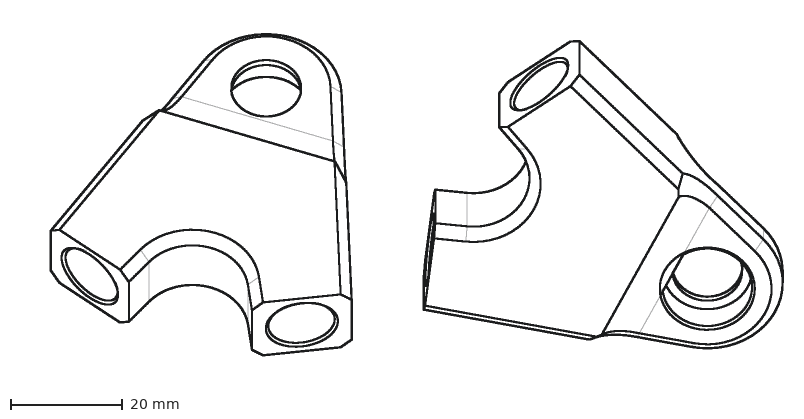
import cadquery as cq
import math


LEFT_ANGLE = 19.2
RIGHT_ANGLE = 27.25
LEG_LENGTH = 50.0
LEG_WIDTH = 18.0
BODY_THICKNESS = 16.0
CROTCH_RADIUS = 10.0
EDGE_CHAMFER = 2.0
CHAMFER_ANGLE = 45.0

EYE_RADIUS = 13.5
EYE_THICKNESS = 8.0
STEP_RADIUS = 8.0
EYE_HOLE_DIAMETER = 12.5
SEAT_DIAMETER = 16.0
LIP_THICKNESS = 1.5
SEAT_CHAMFER = 0.5

BORE_DIAMETER = 12.0
BORE_DEPTH = 20.0
BORE_CHAMFER = 0.5

HALF_WIDTH = LEG_WIDTH / 2
HALF_BODY = BODY_THICKNESS / 2
HALF_EYE = EYE_THICKNESS / 2
STEP_RISE = HALF_BODY - HALF_EYE
STEP_RUN = math.sqrt(STEP_RADIUS**2 - (STEP_RADIUS - STEP_RISE) ** 2)
STEP_START_Y = -STEP_RUN
STEP_END_Y = STEP_START_Y - STEP_RUN
HALF_SPREAD = (LEFT_ANGLE + RIGHT_ANGLE) / 2
CROTCH_DISTANCE = (HALF_WIDTH + CROTCH_RADIUS) / math.sin(math.radians(HALF_SPREAD))
CLEARANCE = 10.0


def polar(radius, angle):
    """Point at a radius from the eye centre; angle is from -Y towards +X."""
    turn = math.radians(angle)
    return cq.Vector(radius * math.sin(turn), -radius * math.cos(turn), 0)


def leg_point(angle, along, across):
    """Point in leg coordinates; across is positive towards +X."""
    return polar(along, angle) + polar(across, angle + 90)


def eye_tangent_point(side, angle):
    """Where the outer flank of a leg touches the eye; side is -1 left, +1 right."""
    corner_distance = math.hypot(LEG_LENGTH, HALF_WIDTH)
    corner_turn = math.degrees(math.atan2(HALF_WIDTH, LEG_LENGTH))
    tangent_turn = math.degrees(math.acos(EYE_RADIUS / corner_distance))
    return polar(EYE_RADIUS, angle + side * (corner_turn + tangent_turn))


def flat(point):
    """X and Y of a point in the plan."""
    return (point.x, point.y)


def make_blank():
    """Full-thickness plate with the plan outline."""
    bisector = (RIGHT_ANGLE - LEFT_ANGLE) / 2
    crotch_centre = polar(CROTCH_DISTANCE, bisector)
    left_crotch = crotch_centre + polar(CROTCH_RADIUS, -LEFT_ANGLE - 90)
    right_crotch = crotch_centre + polar(CROTCH_RADIUS, RIGHT_ANGLE + 90)
    crotch_top = polar(CROTCH_DISTANCE - CROTCH_RADIUS, bisector)
    return (
        cq.Workplane("XY", origin=(0, 0, -HALF_BODY))
        .moveTo(*flat(eye_tangent_point(-1, -LEFT_ANGLE)))
        .threePointArc((0, EYE_RADIUS), flat(eye_tangent_point(1, RIGHT_ANGLE)))
        .lineTo(*flat(leg_point(RIGHT_ANGLE, LEG_LENGTH, HALF_WIDTH)))
        .lineTo(*flat(leg_point(RIGHT_ANGLE, LEG_LENGTH, -HALF_WIDTH)))
        .lineTo(*flat(right_crotch))
        .threePointArc(flat(crotch_top), flat(left_crotch))
        .lineTo(*flat(leg_point(-LEFT_ANGLE, LEG_LENGTH, HALF_WIDTH)))
        .lineTo(*flat(leg_point(-LEFT_ANGLE, LEG_LENGTH, -HALF_WIDTH)))
        .close()
        .extrude(BODY_THICKNESS)
    )


def thin_eye(part):
    """Cut the part down to the eye thickness on both faces."""
    half_turn = math.asin(STEP_RUN / STEP_RADIUS) / 2
    arc_middle = (
        STEP_START_Y - STEP_RADIUS * math.sin(half_turn),
        HALF_EYE + STEP_RADIUS * (1 - math.cos(half_turn)),
    )
    far_y = EYE_RADIUS + CLEARANCE
    cutter = (
        cq.Workplane("YZ")
        .moveTo(far_y, HALF_EYE)
        .lineTo(STEP_START_Y, HALF_EYE)
        .threePointArc(arc_middle, (STEP_END_Y, HALF_BODY))
        .lineTo(STEP_END_Y, HALF_BODY + CLEARANCE)
        .lineTo(far_y, HALF_BODY + CLEARANCE)
        .close()
        .extrude(LEG_LENGTH, both=True)
    )
    return part.cut(cutter).cut(cutter.mirror("XY"))


def outline_edges(part):
    """All outline edges of both faces, without the leg ends and the step ridges."""
    sharp_directions = [
        cq.Vector(0, 0, 1),
        cq.Vector(1, 0, 0),
        polar(1, 90 - LEFT_ANGLE),
        polar(1, 90 + RIGHT_ANGLE),
    ]
    edges = part.edges()
    for direction in sharp_directions:
        edges = edges.edges(-cq.selectors.ParallelDirSelector(direction))
    return edges.vals()


def chamfer_outline(part):
    """Distance-and-angle chamfer along the outline of both faces.

    The distance is laid off on the upper of the two faces at each edge, which is the
    flank on the underside. The choice only matters beside the slanting step.
    """
    solid = part.solids().val()
    builder = cq.occ_impl.shapes.BRepFilletAPI_MakeChamfer(solid.wrapped)
    for edge in outline_edges(part):
        beside = edge.ancestors(solid, "Face").Faces()
        upper_face = max(beside, key=lambda face: face.Center().z)
        builder.AddDA(EDGE_CHAMFER, math.radians(CHAMFER_ANGLE), edge.wrapped, upper_face.wrapped)
    return cq.Workplane(cq.Shape.cast(builder.Shape()))


def make_mouth(plane, radius, chamfer):
    """Cone that chamfers the mouth of a hole going along the plane's normal."""
    return (
        cq.Workplane(plane)
        .circle(radius + chamfer)
        .workplane(offset=chamfer)
        .circle(radius)
        .loft(ruled=True)
    )


def cut_eye_hole(part):
    """Through hole with a wider bearing seat from below, under a thin lip."""
    hole = cq.Workplane("XY").circle(EYE_HOLE_DIAMETER / 2).extrude(EYE_THICKNESS, both=True)
    seat = (
        cq.Workplane("XY", origin=(0, 0, -HALF_EYE))
        .circle(SEAT_DIAMETER / 2)
        .extrude(EYE_THICKNESS - LIP_THICKNESS)
    )
    mouth = make_mouth(cq.Plane((0, 0, -HALF_EYE)), SEAT_DIAMETER / 2, SEAT_CHAMFER)
    return part.cut(hole).cut(seat).cut(mouth)


def cut_bore(part, angle):
    """Blind bore along a leg axis, chamfered at its mouth and floor."""
    radius = BORE_DIAMETER / 2
    inward = polar(-1, angle)
    across = polar(1, angle + 90)
    end_plane = cq.Plane(origin=polar(LEG_LENGTH, angle), xDir=across, normal=inward)
    bore = (
        cq.Workplane(end_plane)
        .circle(radius)
        .extrude(BORE_DEPTH)
        .faces(">Y")
        .chamfer(BORE_CHAMFER)
    )
    return part.cut(bore).cut(make_mouth(end_plane, radius, BORE_CHAMFER))


result = thin_eye(make_blank())
result = chamfer_outline(result)
result = cut_eye_hole(result)
for leg_angle in (-LEFT_ANGLE, RIGHT_ANGLE):
    result = cut_bore(result, leg_angle)